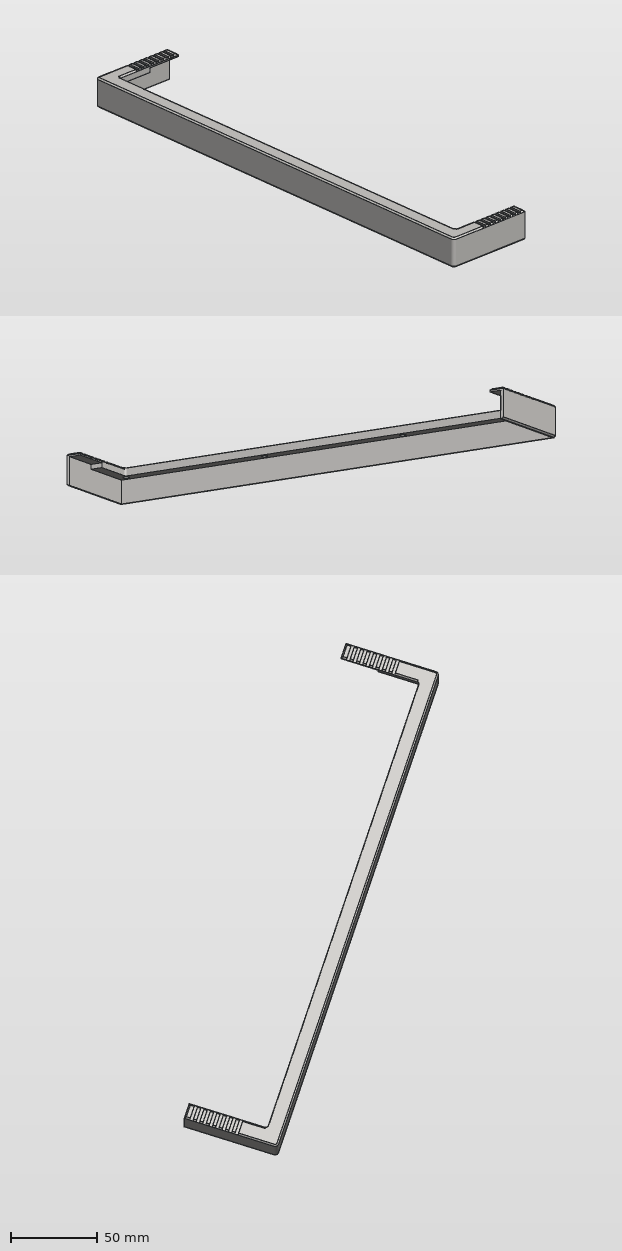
import cadquery as cq

LENGTH = 302.5
DEPTH = 57.0
HEIGHT = 19.0

LEG_WIDTH = 9.5
BAR_WIDTH = 9.0
WALL = 1.97
THICK_FLANGE = 4.8
THIN_FLANGE = WALL
THIN_FLANGE_LENGTH = 22.7

CORNER_RADIUS = 2.0
INNER_CORNER_RADIUS = 1.2
CHAMFER = 1.0

GROOVE_COUNT = 8
GROOVE_PITCH = 4.0
END_TOOTH = 3.3
GROOVE_WIDTH = GROOVE_PITCH / 2
GROOVE_DEPTH = CHAMFER

HOLE_DIAMETER = 3.5
HOLE_COUNT = 4
HOLE_SPAN = 287.3
HOLE_ROOF = 1.0
HOLE_Y = (WALL + BAR_WIDTH) / 2

HALF_LENGTH = LENGTH / 2
LEG_INNER_X = HALF_LENGTH - LEG_WIDTH


def box(x_min, x_max, y_min, y_max, z_min, z_max):
    """Axis-aligned block between the given limits."""
    size = (x_max - x_min, y_max - y_min, z_max - z_min)
    return cq.Workplane("XY").box(*size, centered=False).translate((x_min, y_min, z_min))


def make_body():
    """Solid U with rounded corners; all top edges are chamfered except the back of the bar."""
    outer = box(-HALF_LENGTH, HALF_LENGTH, 0, DEPTH, 0, HEIGHT)
    outer = outer.edges("|Z and <Y").fillet(CORNER_RADIUS)
    outer = outer.faces("<Z").edges("not(>Y)").chamfer(CHAMFER)
    outer = outer.faces(">Z").edges().chamfer(CHAMFER)

    opening = box(-LEG_INNER_X, LEG_INNER_X, BAR_WIDTH, DEPTH, 0, HEIGHT)
    opening = opening.edges("|Z and <Y").fillet(INNER_CORNER_RADIUS)

    flare = (
        cq.Workplane("XZ", origin=(0, DEPTH, 0))
        .moveTo(-LEG_INNER_X, HEIGHT - CHAMFER)
        .lineTo(-LEG_INNER_X - CHAMFER, HEIGHT)
        .lineTo(LEG_INNER_X + CHAMFER, HEIGHT)
        .lineTo(LEG_INNER_X, HEIGHT - CHAMFER)
        .close()
        .extrude(DEPTH - BAR_WIDTH - INNER_CORNER_RADIUS)
    )
    return outer.cut(opening).cut(flare)


def make_cavity():
    """Space under the flange, open at the bottom, the back and the inside."""
    wall_inner_x = HALF_LENGTH - WALL
    under_flange = box(-wall_inner_x, wall_inner_x, WALL, DEPTH, 0, HEIGHT - THICK_FLANGE)
    leg_ends = box(
        -wall_inner_x, wall_inner_x, DEPTH - THIN_FLANGE_LENGTH, DEPTH, 0, HEIGHT - THIN_FLANGE
    )
    return under_flange.union(leg_ends)


def make_grooves():
    """Grooves across both legs, counted from their free ends."""
    grooves = cq.Workplane("XY")
    for index in range(GROOVE_COUNT):
        y_max = DEPTH - END_TOOTH - index * GROOVE_PITCH
        y_min = y_max - GROOVE_WIDTH
        groove = box(-HALF_LENGTH, HALF_LENGTH, y_min, y_max, HEIGHT - GROOVE_DEPTH, HEIGHT)
        grooves = grooves.add(groove)
    return grooves.combine()


def make_holes():
    """Row of blind holes in the flange of the bar."""
    pitch = HOLE_SPAN / (HOLE_COUNT - 1)
    return (
        cq.Workplane("XY")
        .workplane(offset=HEIGHT - THICK_FLANGE)
        .center(0, HOLE_Y)
        .rarray(pitch, 3, HOLE_COUNT, 1)
        .circle(HOLE_DIAMETER / 2)
        .extrude(THICK_FLANGE - HOLE_ROOF)
    )


result = make_body().cut(make_cavity()).cut(make_grooves()).cut(make_holes())